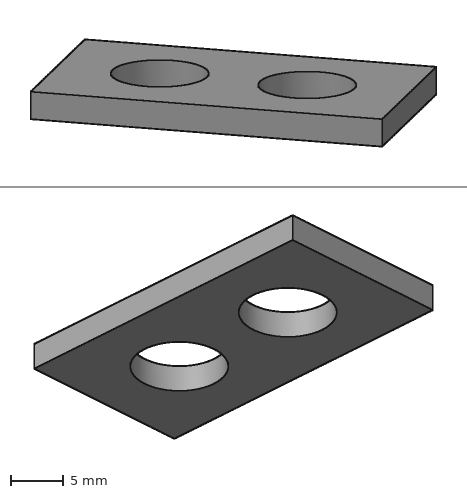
import cadquery as cq

length = 35.05
width = 19.05
thickness = 2.75

hole_diameter = 9.4
hole_spacing = 14.7

hole_centers = [(-hole_spacing / 2, 0), (hole_spacing / 2, 0)]

plate = cq.Workplane("XY").box(length, width, thickness)

result = plate.faces(">Z").workplane().pushPoints(hole_centers).hole(hole_diameter)